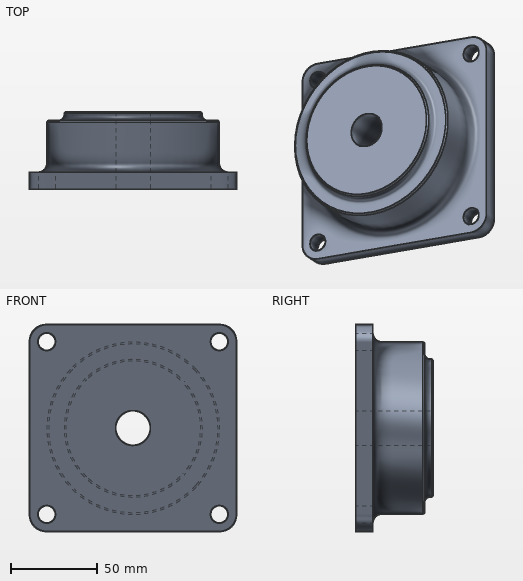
import cadquery as cq

plate_side = 120.0
plate_thickness = 10.0
corner_radius = 10.0

hub_diameter = 100.0
hub_length = 30.0
hub_base_fillet = 5.0
hub_rim_chamfer = 1.0

step_diameter = 80.0
step_length = 5.0
step_base_fillet = 3.0
step_rim_chamfer = 1.0

bore_diameter = 20.0
bolt_hole_diameter = 10.0
bolt_spacing = plate_side - 2 * corner_radius

hub_end = plate_thickness + hub_length
step_end = hub_end + step_length


def make_plate():
    """Square plate with rounded corners."""
    plate = cq.Workplane("XZ").rect(plate_side, plate_side).extrude(-plate_thickness)
    return plate.edges("|Y").fillet(corner_radius)


def make_turned_hub():
    """Hub and step as one profile revolved about the Y axis, with its fillets and chamfers."""
    hub_radius = hub_diameter / 2
    step_radius = step_diameter / 2
    profile = (
        cq.Workplane("XY")
        .moveTo(0, plate_thickness)
        .lineTo(hub_radius + hub_base_fillet, plate_thickness)
        .radiusArc((hub_radius, plate_thickness + hub_base_fillet), hub_base_fillet)
        .lineTo(hub_radius, hub_end - hub_rim_chamfer)
        .lineTo(hub_radius - hub_rim_chamfer, hub_end)
        .lineTo(step_radius + step_base_fillet, hub_end)
        .radiusArc((step_radius, hub_end + step_base_fillet), step_base_fillet)
        .lineTo(step_radius, step_end - step_rim_chamfer)
        .lineTo(step_radius - step_rim_chamfer, step_end)
        .lineTo(0, step_end)
        .close()
    )
    return profile.revolve(360, (0, 0, 0), (0, 1, 0))


def make_through_holes():
    """Cutters for the central bore and the four corner bolt holes."""
    bore = cq.Workplane("XZ").circle(bore_diameter / 2).extrude(-step_end)
    bolt_holes = (
        cq.Workplane("XZ")
        .rect(bolt_spacing, bolt_spacing, forConstruction=True)
        .vertices()
        .circle(bolt_hole_diameter / 2)
        .extrude(-plate_thickness)
    )
    return bore.union(bolt_holes)


result = make_plate().union(make_turned_hub()).cut(make_through_holes())